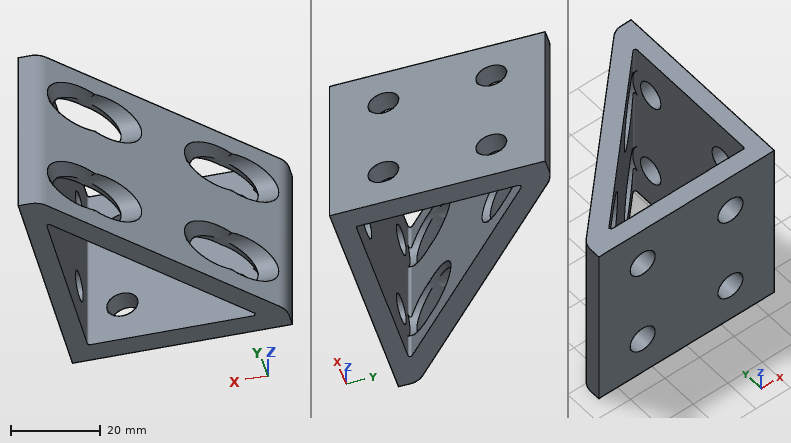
import cadquery as cq

leg_length = 50.8
height = 47.6
wall = 4.7
end_width = 4.8
outer_radius = 4.8
inner_radius = 0.5
hole_diameter = 7.2
access_diameter = 12.7
hole_spacing = 25.4

hole_offsets = [leg_length / 2 - hole_spacing / 2, leg_length / 2 + hole_spacing / 2]
hole_heights = [height / 2 - hole_spacing / 2, height / 2 + hole_spacing / 2]


def make_body():
    """Triangular tube: legs on the -Y and +X sides, joined by a 45 degree web."""
    outer = (
        cq.Workplane("XY")
        .polyline([
            (0, 0),
            (leg_length, 0),
            (leg_length, leg_length),
            (leg_length - end_width, leg_length),
            (0, end_width),
        ])
        .close()
        .extrude(height)
    )
    outer = outer.edges("|Z").edges("(not >X) and (not <Y)").fillet(outer_radius)

    inner_rise = end_width - wall * 2 ** 0.5
    inner_x = leg_length - wall
    window = (
        cq.Workplane("XY")
        .polyline([
            (wall - inner_rise, wall),
            (inner_x, wall),
            (inner_x, inner_x + inner_rise),
        ])
        .close()
        .extrude(height)
        .edges("|Z")
        .fillet(inner_radius)
    )
    return outer.cut(window)


def cylinder(diameter, start, direction, length):
    return cq.Workplane(cq.Solid.makeCylinder(
        diameter / 2, length, cq.Vector(*start), cq.Vector(*direction)))


def drill_legs(body):
    """Drill each leg and open the web in line with every screw hole."""
    access_length = leg_length - wall
    along_x = (1, 0, 0)
    along_y = (0, 1, 0)
    for offset in hole_offsets:
        for z in hole_heights:
            body = body.cut(cylinder(hole_diameter, (offset, 0, z), along_y, leg_length))
            body = body.cut(cylinder(access_diameter, (offset, wall, z), along_y, access_length))
            body = body.cut(cylinder(hole_diameter, (0, offset, z), along_x, leg_length))
            body = body.cut(cylinder(access_diameter, (0, offset, z), along_x, access_length))
    return body


result = drill_legs(make_body())